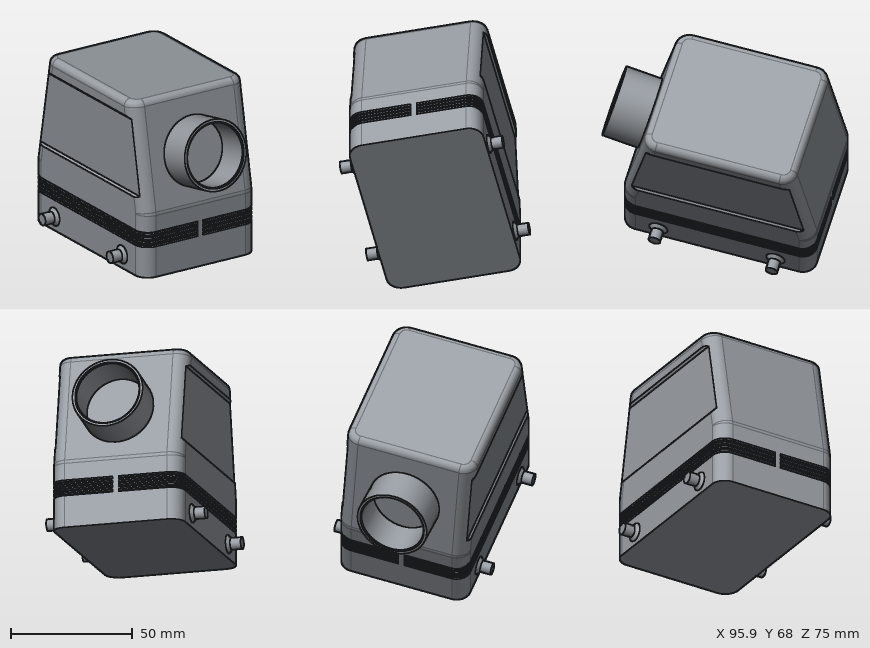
import cadquery as cq
import math

OVERALL_LENGTH = 95.9
BODY_LENGTH = 82.0
BODY_WIDTH = 56.0
BODY_HEIGHT = 75.0
KNEE_HEIGHT = 28.0
LEAN_ANGLE = 10.8
KNEE_RADIUS = 7.7
CORNER_RADIUS = 6.0
TOP_RADIUS = 3.0

RECESS_DEPTH = 1
RECESS_BOTTOM = 34.3
RECESS_TOP = 68.2

GROOVE_COUNT = 4
GROOVE_PITCH = 1.8
LOWEST_GROOVE_HEIGHT = 14.0
GROOVE_DEPTH = 0.56
GROOVE_GAP = 2.7

PIN_SPAN = 68.0
PIN_RADIUS = 2.5
PIN_OFFSET = 25.0
PIN_HEIGHT = 6.0
PIN_FOOT_LENGTH = 1.4

TUBE_RADIUS = 15.1
TUBE_WALL = 1.6
MOUTH_CHAMFER = 0.5
TUBE_MOUTH_HEIGHT = 52.6

EMBED = 1

HALF_LENGTH = BODY_LENGTH / 2
HALF_WIDTH = BODY_WIDTH / 2
LEAN = math.radians(LEAN_ANGLE)
TUBE_REACH = OVERALL_LENGTH - HALF_LENGTH


def make_body():
    """Block with leaning ends and rounded edges."""
    top_half_length = HALF_LENGTH - (BODY_HEIGHT - KNEE_HEIGHT) * math.tan(LEAN)
    outline = [
        (-HALF_LENGTH, 0),
        (HALF_LENGTH, 0),
        (HALF_LENGTH, KNEE_HEIGHT),
        (top_half_length, BODY_HEIGHT),
        (-top_half_length, BODY_HEIGHT),
        (-HALF_LENGTH, KNEE_HEIGHT),
    ]
    body = cq.Workplane("XZ").polyline(outline).close().extrude(HALF_WIDTH, both=True)
    knee_zone = cq.selectors.BoxSelector(
        (-BODY_LENGTH, -BODY_WIDTH, KNEE_HEIGHT - KNEE_RADIUS),
        (BODY_LENGTH, BODY_WIDTH, KNEE_HEIGHT + KNEE_RADIUS),
    )
    body = body.edges("|Y").edges(knee_zone).fillet(KNEE_RADIUS)
    body = body.faces("<Y or >Y").edges("not(<Z or >Z)").fillet(CORNER_RADIUS)
    return body.faces(">Z").edges().fillet(TOP_RADIUS)


def make_recess(side):
    """Cutter for the recess on the long side facing +Y (side 1) or -Y (side -1)."""
    face = side * HALF_WIDTH
    floor = side * (HALF_WIDTH - RECESS_DEPTH)
    outline = [
        (face, RECESS_BOTTOM),
        (floor, RECESS_BOTTOM + RECESS_DEPTH),
        (floor, RECESS_TOP - RECESS_DEPTH),
        (face, RECESS_TOP),
    ]
    return cq.Workplane("YZ").polyline(outline).close().extrude(HALF_LENGTH, both=True)


def make_groove(height):
    """V-shaped ring cutter along the rounded body outline, interrupted on both ends."""
    profile = [
        (HALF_WIDTH, height - GROOVE_DEPTH),
        (HALF_WIDTH, height + GROOVE_DEPTH),
        (HALF_WIDTH - GROOVE_DEPTH, height),
    ]
    block = cq.Workplane("XY").workplane(offset=height).rect(BODY_LENGTH, BODY_WIDTH).extrude(BODY_HEIGHT)
    path = block.edges("|Z").fillet(CORNER_RADIUS).faces("<Z").wires()
    ring = cq.Workplane("YZ").polyline(profile).close().sweep(path)
    gap = cq.Workplane("XY").box(2 * BODY_LENGTH, GROOVE_GAP, 2 * BODY_HEIGHT)
    return ring.cut(gap)


def make_pin(x, side):
    """Round pin with a conical foot, on the long side facing +Y (1) or -Y (-1)."""
    root = HALF_WIDTH - EMBED
    tip = PIN_SPAN / 2
    foot_radius = PIN_RADIUS + PIN_FOOT_LENGTH
    profile = [
        (0, root),
        (foot_radius, root),
        (foot_radius, HALF_WIDTH),
        (PIN_RADIUS, HALF_WIDTH + PIN_FOOT_LENGTH),
        (PIN_RADIUS, tip),
        (0, tip),
    ]
    pin = cq.Workplane("XY").polyline(profile).close().revolve(360, (0, 0), (0, 1))
    if side < 0:
        pin = pin.mirror("XZ")
    return pin.translate((x, 0, PIN_HEIGHT))


def add_tube(body):
    """Join the cable entry tube to the +X end and bore it down to the end wall."""
    mouth_x = TUBE_REACH - TUBE_RADIUS * math.sin(LEAN)
    rise = TUBE_MOUTH_HEIGHT - KNEE_HEIGHT
    length = (mouth_x - HALF_LENGTH) * math.cos(LEAN) + rise * math.sin(LEAN)
    inwards = (-math.cos(LEAN), 0, -math.sin(LEAN))
    mouth = cq.Workplane(cq.Plane((mouth_x, 0, TUBE_MOUTH_HEIGHT), (0, 1, 0), inwards))

    bore_radius = TUBE_RADIUS - TUBE_WALL
    tube = mouth.circle(TUBE_RADIUS).extrude(length + EMBED)
    bore = mouth.circle(bore_radius).extrude(length)
    chamfer = mouth.circle(bore_radius + MOUTH_CHAMFER).extrude(MOUTH_CHAMFER, taper=45)
    return body.union(tube).cut(bore).cut(chamfer)


result = make_body()
for side in (-1, 1):
    result = result.cut(make_recess(side))
for index in range(GROOVE_COUNT):
    result = result.cut(make_groove(LOWEST_GROOVE_HEIGHT + index * GROOVE_PITCH))
for x in (-PIN_OFFSET, PIN_OFFSET):
    for side in (-1, 1):
        result = result.union(make_pin(x, side))
result = add_tube(result).solids()